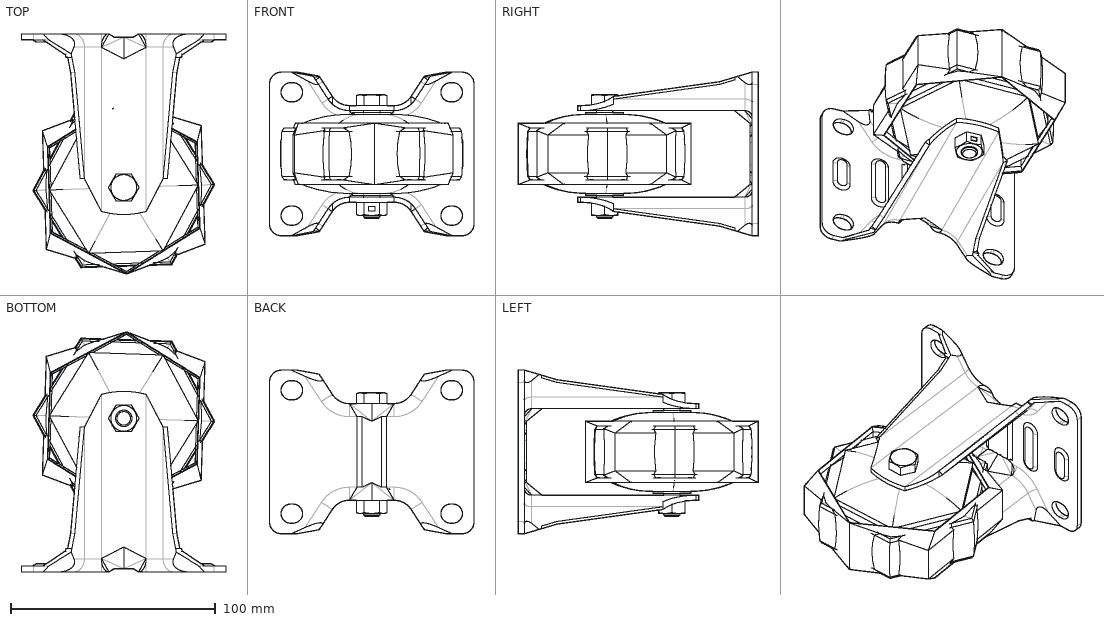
import cadquery as cq
import math

AXLE_DROP = 75.0

LONG = 120.0
EDGE_TOL = 0.1

PLATE_WIDTH = 100.0
PLATE_HEIGHT = 80.0
PLATE_THICK = 3.0
PLATE_CORNER_R = 6.0
HOLE_X = 39.0
HOLE_Z = 30.1
HOLE_LENGTH = 10.4
HOLE_HEIGHT = 9.2

BEADS = [(-40.0, 20.0), (-20.0, 30.0), (20.0, 30.0), (40.0, 20.0)]
BEAD_WIDTH = 9.0
BEAD_RISE = 1.1
BEAD_TAPER = 60.0

CHANNEL_WIDTH = 14.4
CHANNEL_FLOOR = 9.4
CHANNEL_DEPTH = 1.6
CHANNEL_HEIGHT = 37.0
CHANNEL_RIDGE_HEIGHT = 30.0
CHANNEL_RIDGE_SPREAD = 2.6

LEG_THICK = 2.5
WEB_OUTER_Z = 23.6
WEB_INNER_Z = WEB_OUTER_Z - LEG_THICK
WEB_HALF = 10.9
WALL_ANGLE = 57.0
BEND_R = 9.9
LEG_TIP_Y = -88.2
TIP_CORNER_Y = -86.7
WALL_END_Y = -70.7
FLARE_EDGE = [(-PLATE_THICK, PLATE_HEIGHT / 2), (-11.5, 37.5)]
WALL_EDGE = [FLARE_EDGE[1], (-18.9, 35.3)]
FOOT_INNER_R = 3.5
FOOT_OUTER_R = 6.4

FLARE_X = 39.4
FLARE_REACH = 13.0
FLARE_START_Z = 32.0

DIMPLE_REACH = 12.2
DIMPLE_FOOT_Z = 15.0
DIMPLE_SIDE_Y = -6.6
DIMPLE_SIDE_Z = 17.2
GUSSET_REACH = 11.7
GUSSET_FOOT_Z = 14.0
GUSSET_FOOT_HALF = 8.0

SHANK_R = 4.0
HEX_FLATS = 13.0
HEAD_HEIGHT = 5.3
NUT_HEIGHT = 6.5
SHANK_END_Z = -31.4
SHANK_CHAMFER = 0.7
HEX_CHAMFER_R = 6.3
HEX_CHAMFER_DROP = 0.5
NUT_MARK_WIDTH = 3.0
NUT_MARK_HEIGHT = 2.2
NUT_MARK_DEPTH = 0.4

FLANGE_R = 9.3
FLANGE_OUTER_Z = 20.2
FLANGE_INNER_Z = 19.3
BUSH_R = 7.0
BUSH_LENGTH = 12.0

WHEEL_TURN = 1.9
SIDES = 6
HEX_RATIO = math.cos(math.pi / SIDES)

DOME_CORNER_R = 36.4
DOME_EDGE_Z = 13.9
DOME_MID = (23.6, 17.2)
DOME_TOP_HALF = 8.5
RIM_CORNER_R = 44.4
RIM_CROWN_CORNER_R = 43.9
RIM_EDGE_CORNER_R = 42.8
RIM_CROWN_HALF = 11.0
RIM_HALF = 12.7
RIM_GROOVE_Z = 11.0

TYRE_R = 42.245
TYRE_HALF = 15.0
CREST_HALF = 9.2
CREST_X = 38.8
CREST_Y = 29.0
TYRE_LIP_R = 41.9
TYRE_SEAT_R = 41.0


def solid_from_faces(points, faces):
    """Solid with flat faces, each face given as a list of point indices."""
    flat = []
    for face in faces:
        wire = cq.Wire.makePolygon([cq.Vector(*points[i]) for i in face], close=True)
        flat.append(cq.Face.makeFromWires(wire))
    return cq.Workplane(cq.Solid.makeSolid(cq.Shell.makeShell(flat)))


def tetrahedron(points):
    return solid_from_faces(points, [(0, 1, 2), (0, 1, 3), (1, 2, 3), (0, 2, 3)])


SIN_WALL = math.sin(math.radians(WALL_ANGLE))
COS_WALL = math.cos(math.radians(WALL_ANGLE))
BEND_END_X = WEB_HALF + BEND_R * SIN_WALL
BEND_END_Z = WEB_OUTER_Z + BEND_R * (1 - COS_WALL)
WALL_TOP_Z = PLATE_HEIGHT / 2
PLATE_FRONT = -PLATE_THICK


def wall_x(z, depth):
    """X of the leg wall at height z, at a depth below its outer face."""
    return BEND_END_X + (z - BEND_END_Z) / math.tan(math.radians(WALL_ANGLE)) + depth / SIN_WALL


def bend_point(angle, depth):
    """Point of the bend at an angle from the web, at a depth below the outer face."""
    a = math.radians(angle)
    radius = BEND_R + depth
    return (WEB_HALF + radius * math.sin(a), WEB_OUTER_Z + BEND_R - radius * math.cos(a))


def flip(point):
    return (-point[0], point[1])


def make_plate():
    plate = cq.Workplane("XZ").rect(PLATE_WIDTH, PLATE_HEIGHT).extrude(PLATE_THICK)
    return plate.edges("|Y").fillet(PLATE_CORNER_R)


def leg_outline(depth):
    """Points along the right half of the channel at a depth below the outer face."""
    return {
        "web": (WEB_HALF, WEB_OUTER_Z - depth),
        "mid": bend_point(WALL_ANGLE / 2, depth),
        "bend": bend_point(WALL_ANGLE, depth),
        "top": (wall_x(WALL_TOP_Z, depth), WALL_TOP_Z),
    }


def make_leg():
    outer = leg_outline(0.0)
    inner = leg_outline(LEG_THICK)
    return (
        cq.Workplane("XZ")
        .moveTo(*flip(outer["top"]))
        .lineTo(*flip(outer["bend"]))
        .threePointArc(flip(outer["mid"]), flip(outer["web"]))
        .lineTo(*outer["web"])
        .threePointArc(outer["mid"], outer["bend"])
        .lineTo(*outer["top"])
        .lineTo(*inner["top"])
        .lineTo(*inner["bend"])
        .threePointArc(inner["mid"], inner["web"])
        .lineTo(*flip(inner["web"]))
        .threePointArc(flip(inner["mid"]), flip(inner["bend"]))
        .lineTo(*flip(inner["top"]))
        .close()
        .extrude(-LEG_TIP_Y)
    )


def channel_void():
    """Space on the outer side of one leg, open to the plate edge."""
    outer = leg_outline(0.0)
    return (
        cq.Workplane("XZ")
        .moveTo(*flip(outer["top"]))
        .lineTo(*flip(outer["bend"]))
        .threePointArc(flip(outer["mid"]), flip(outer["web"]))
        .lineTo(*outer["web"])
        .threePointArc(outer["mid"], outer["bend"])
        .lineTo(*outer["top"])
        .close()
        .extrude(-LEG_TIP_Y)
    )


def wall_trim():
    """Cutter that trims the right wall square to its face along the tapering outer edge."""
    def on_wall(y, z):
        return (y, (z - BEND_END_Z) / SIN_WALL)

    far = LONG / 2
    edge = [on_wall(y, z) for y, z in WALL_EDGE]
    outline = edge + [(WALL_END_Y, 0.0), (LEG_TIP_Y, 0.0), (LEG_TIP_Y, far), (WALL_EDGE[0][0], far)]
    plane = cq.Plane(
        origin=(BEND_END_X, 0, BEND_END_Z), xDir=(0, 1, 0), normal=(SIN_WALL, 0, -COS_WALL)
    )
    return cq.Workplane(plane).polyline(outline).close().extrude(2 * FLARE_REACH, both=True)


def flare_trim():
    """Cutter that slopes the free edge of the corner flares away from the plate edge."""
    outline = FLARE_EDGE + [(FLARE_EDGE[1][0], PLATE_HEIGHT), (PLATE_FRONT, PLATE_HEIGHT)]
    return cq.Workplane("YZ").polyline(outline).close().extrude(PLATE_WIDTH / 2, both=True)


def tip_outline():
    """Plan outline of a leg, with tapered corners and a shallow arc at the tip."""
    side = PLATE_WIDTH / 2
    return (
        cq.Workplane("XY")
        .moveTo(-side, 0)
        .lineTo(-side, WALL_END_Y)
        .lineTo(-BEND_END_X, WALL_END_Y)
        .lineTo(-WEB_HALF, TIP_CORNER_Y)
        .threePointArc((0, LEG_TIP_Y), (WEB_HALF, TIP_CORNER_Y))
        .lineTo(BEND_END_X, WALL_END_Y)
        .lineTo(side, WALL_END_Y)
        .lineTo(side, 0)
        .close()
        .extrude(PLATE_HEIGHT)
    )


def flare_wedge(depth, y_start):
    """Wedge between the plate and the right wall, growing towards the plate corner."""
    return tetrahedron([
        (wall_x(FLARE_START_Z, depth), y_start, FLARE_START_Z),
        (FLARE_X, y_start, WALL_TOP_Z),
        (wall_x(WALL_TOP_Z, depth), y_start, WALL_TOP_Z),
        (wall_x(WALL_TOP_Z, depth), -FLARE_REACH, WALL_TOP_Z),
    ])


DIMPLE_FACES = [
    (0, 1, 6, 7, 2), (6, 7, 4, 3), (3, 4, 5),
    (0, 1, 5), (0, 2, 5), (1, 3, 5), (2, 4, 5), (1, 6, 3), (2, 7, 4),
]


def dimple_cut():
    """Pressed-in hollow on the outer side of the foot."""
    half = CHANNEL_WIDTH / 2
    points = [
        (0, -DIMPLE_REACH, WEB_OUTER_Z),
        (-WEB_HALF, DIMPLE_SIDE_Y, WEB_OUTER_Z),
        (WEB_HALF, DIMPLE_SIDE_Y, WEB_OUTER_Z),
        (-half, 0, DIMPLE_SIDE_Z),
        (half, 0, DIMPLE_SIDE_Z),
        (0, -CHANNEL_DEPTH, DIMPLE_FOOT_Z),
        (-WEB_HALF, 0, WEB_OUTER_Z),
        (WEB_HALF, 0, WEB_OUTER_Z),
    ]
    return solid_from_faces(points, DIMPLE_FACES)


def dimple_gusset():
    """Matching bulge on the inner side of the foot."""
    points = [
        (0, -GUSSET_REACH, WEB_INNER_Z),
        (-WEB_HALF, DIMPLE_SIDE_Y, WEB_INNER_Z),
        (WEB_HALF, DIMPLE_SIDE_Y, WEB_INNER_Z),
        (-GUSSET_FOOT_HALF, PLATE_FRONT, DIMPLE_SIDE_Z),
        (GUSSET_FOOT_HALF, PLATE_FRONT, DIMPLE_SIDE_Z),
        (0, PLATE_FRONT, GUSSET_FOOT_Z),
        (-WEB_HALF, PLATE_FRONT, WEB_INNER_Z),
        (WEB_HALF, PLATE_FRONT, WEB_INNER_Z),
    ]
    return solid_from_faces(points, DIMPLE_FACES)


def foot_edges(leg_bracket, y, depth):
    """Edges of the foot where the leg meets the plate face at the given Y."""
    reach_x = wall_x(WALL_TOP_Z, depth)
    low = (-reach_x, y - EDGE_TOL, WEB_OUTER_Z - depth - EDGE_TOL)
    high = (reach_x, y + EDGE_TOL, WALL_TOP_Z - EDGE_TOL)
    return leg_bracket.edges(cq.selectors.BoxSelector(low, high))


def make_half_bracket():
    """Upper half of the plate with the upper leg."""
    upper = cq.Workplane("XY").box(PLATE_WIDTH, LONG * 2, PLATE_HEIGHT, centered=(True, True, False))
    leg = make_leg().intersect(tip_outline())
    half = make_plate().intersect(upper).cut(channel_void()).union(leg)

    half = foot_edges(half, PLATE_FRONT, LEG_THICK).fillet(FOOT_INNER_R)
    half = foot_edges(half, 0.0, 0.0).fillet(FOOT_OUTER_R)

    flare_fill = flare_wedge(LEG_THICK, PLATE_FRONT)
    flare_cut = flare_wedge(0.0, 0.0)
    trim = wall_trim()
    half = half.union(flare_fill).union(flare_fill.mirror("YZ"))
    for cutter in (flare_cut, trim):
        half = half.cut(cutter).cut(cutter.mirror("YZ"))

    half = half.cut(flare_trim())
    return half.union(dimple_gusset()).cut(dimple_cut())


def make_bead(center_x, length):
    """Raised bead on the plate front, with sloping flanks and round ends."""
    return (
        cq.Workplane("XZ", origin=(center_x, PLATE_FRONT, 0))
        .slot2D(length, BEAD_WIDTH, 90)
        .extrude(BEAD_RISE, taper=BEAD_TAPER)
    )


def pressed_trough(y, wide, narrow, depth, height):
    """Trapezoidal bar along Z that narrows towards -Y."""
    outline = [(-wide / 2, y), (wide / 2, y), (narrow / 2, y - depth), (-narrow / 2, y - depth)]
    return cq.Workplane("XY").polyline(outline).close().extrude(height / 2, both=True)


def make_bracket():
    half = make_half_bracket()
    bracket = half.union(half.mirror("XY"))
    for center_x, length in BEADS:
        bracket = bracket.union(make_bead(center_x, length))

    ridge = pressed_trough(
        PLATE_FRONT,
        CHANNEL_WIDTH + CHANNEL_RIDGE_SPREAD,
        CHANNEL_FLOOR + CHANNEL_RIDGE_SPREAD,
        BEAD_RISE,
        CHANNEL_RIDGE_HEIGHT,
    )
    channel = pressed_trough(0.0, CHANNEL_WIDTH, CHANNEL_FLOOR, CHANNEL_DEPTH, CHANNEL_HEIGHT)
    bracket = bracket.union(ridge).cut(channel)

    holes = (
        cq.Workplane("XZ")
        .rect(2 * HOLE_X, 2 * HOLE_Z, forConstruction=True)
        .vertices()
        .slot2D(HOLE_LENGTH, HOLE_HEIGHT)
        .extrude(PLATE_THICK)
    )
    axle_hole = axle_cylinder(SHANK_R, -PLATE_HEIGHT / 2, PLATE_HEIGHT / 2)
    return bracket.cut(holes).cut(axle_hole)


def axle_plane(z):
    return cq.Workplane("XY", origin=(0, -AXLE_DROP, z))


def axle_cylinder(radius, z_low, z_high):
    return axle_plane(z_low).circle(radius).extrude(z_high - z_low)


def hex_block(height):
    """Hexagon standing on the web of the upper leg, its free end chamfered round."""
    corner_r = HEX_FLATS / 2 / HEX_RATIO
    block = axle_plane(WEB_OUTER_Z).polygon(SIDES, 2 * corner_r).extrude(height)
    slope = (corner_r - HEX_CHAMFER_R) / HEX_CHAMFER_DROP
    base_r = HEX_CHAMFER_R + slope * height
    cone = cq.Solid.makeCone(
        base_r, HEX_CHAMFER_R, height, cq.Vector(0, -AXLE_DROP, WEB_OUTER_Z), cq.Vector(0, 0, 1)
    )
    return block.intersect(cq.Workplane(cone))


def make_bolt():
    shank = axle_cylinder(SHANK_R, SHANK_END_Z, WEB_OUTER_Z).faces("<Z").chamfer(SHANK_CHAMFER)
    return hex_block(HEAD_HEIGHT).union(shank)


def make_nut():
    nut = hex_block(NUT_HEIGHT).mirror("XY")
    bore = axle_cylinder(SHANK_R, -WEB_OUTER_Z - NUT_HEIGHT, -WEB_OUTER_Z)
    mark = cq.Workplane("XY").box(NUT_MARK_WIDTH, 2 * NUT_MARK_DEPTH, NUT_MARK_HEIGHT)
    mark_place = (0, -AXLE_DROP - HEX_FLATS / 2, -WEB_OUTER_Z - NUT_HEIGHT / 2)
    return nut.cut(bore).cut(mark.translate(mark_place))


def make_bushing(side):
    """Flanged bushing; side is +1 for the upper one and -1 for the lower one."""
    bushing = (
        axle_cylinder(BUSH_R, FLANGE_INNER_Z - BUSH_LENGTH, FLANGE_INNER_Z)
        .union(axle_cylinder(FLANGE_R, FLANGE_INNER_Z, FLANGE_OUTER_Z))
        .cut(axle_cylinder(SHANK_R, FLANGE_INNER_Z - BUSH_LENGTH, FLANGE_OUTER_Z))
    )
    return bushing if side > 0 else bushing.mirror("XY")


def six_sided(bar, first_angle):
    """Six-sided body whose section across opposite flats is the section of the bar."""
    body = bar.rotate((0, 0, 0), (0, 0, 1), first_angle)
    for step in (1, 2):
        body = body.intersect(bar.rotate((0, 0, 0), (0, 0, 1), first_angle + step * 360 / SIDES))
    return body


def long_bar(outline):
    return outline.close().extrude(LONG / 2, both=True)


def hex_wire(corner_r, z, first_angle):
    """Closed hexagonal wire at height z with a corner at first_angle."""
    points = []
    for i in range(SIDES):
        a = math.radians(first_angle + i * 360 / SIDES)
        points.append(cq.Vector(corner_r * math.cos(a), corner_r * math.sin(a), z))
    return cq.Wire.makePolygon(points, close=True)


def hex_funnel(top_r, top_z, bottom_r, bottom_z, first_angle):
    """Six-sided plug about the axle, spanning two levels with its own corner radius at each."""
    wires = [hex_wire(bottom_r, bottom_z, first_angle), hex_wire(top_r, top_z, first_angle)]
    return cq.Workplane(cq.Solid.makeLoft(wires, True))


def both_sides(body):
    return body.union(body.mirror("XY"))


def place_wheel(body):
    return body.rotate((0, 0, 0), (0, 0, 1), WHEEL_TURN).translate((0, -AXLE_DROP, 0))


def make_core_blank():
    dome_flat = DOME_CORNER_R * HEX_RATIO
    mid_x, mid_z = DOME_MID
    dome = long_bar(
        cq.Workplane("XZ")
        .moveTo(dome_flat, -DOME_EDGE_Z)
        .lineTo(dome_flat, DOME_EDGE_Z)
        .threePointArc((mid_x, mid_z), (DOME_TOP_HALF, FLANGE_INNER_Z))
        .lineTo(-DOME_TOP_HALF, FLANGE_INNER_Z)
        .threePointArc((-mid_x, mid_z), (-dome_flat, DOME_EDGE_Z))
        .lineTo(-dome_flat, -DOME_EDGE_Z)
        .threePointArc((-mid_x, -mid_z), (-DOME_TOP_HALF, -FLANGE_INNER_Z))
        .lineTo(DOME_TOP_HALF, -FLANGE_INNER_Z)
        .threePointArc((mid_x, -mid_z), (dome_flat, -DOME_EDGE_Z))
    )
    rim_edge = RIM_EDGE_CORNER_R * HEX_RATIO
    rim_crown = RIM_CROWN_CORNER_R * HEX_RATIO
    rim_flat = RIM_CORNER_R * HEX_RATIO
    rim = long_bar(
        cq.Workplane("XZ")
        .moveTo(rim_edge, -RIM_HALF)
        .lineTo(rim_crown, -RIM_CROWN_HALF)
        .threePointArc((rim_flat, 0), (rim_crown, RIM_CROWN_HALF))
        .lineTo(rim_edge, RIM_HALF)
        .lineTo(-rim_edge, RIM_HALF)
        .lineTo(-rim_crown, RIM_CROWN_HALF)
        .threePointArc((-rim_flat, 0), (-rim_crown, -RIM_CROWN_HALF))
        .lineTo(-rim_edge, -RIM_HALF)
    )
    turn = 180 / SIDES
    groove = both_sides(hex_funnel(RIM_EDGE_CORNER_R, RIM_HALF, DOME_CORNER_R, RIM_GROOVE_Z, 0))
    return six_sided(rim, turn).cut(groove).union(six_sided(dome, turn))


def make_tyre(core_blank):
    outline = [(CREST_X, CREST_Y), (0, TYRE_R), (-CREST_X, CREST_Y)]
    outline += [(-x, -y) for x, y in outline]
    body = cq.Workplane("XY").polyline(outline).close().extrude(TYRE_HALF, both=True)

    def bevel_bar(crest_flat):
        lip_flat = TYRE_R * HEX_RATIO
        lower = [(lip_flat, -TYRE_HALF), (crest_flat, -CREST_HALF)]
        right = lower + [(x, -z) for x, z in reversed(lower)]
        left = [(-x, -z) for x, z in right]
        return cq.Workplane("XZ").polyline(right + left).close().extrude(LONG / 2, both=True)

    step = 360 / SIDES
    half_crest = CREST_X * math.cos(math.radians(step)) + CREST_Y * math.sin(math.radians(step))
    body = body.intersect(bevel_bar(CREST_X))
    for angle in (step, -step):
        body = body.intersect(bevel_bar(half_crest).rotate((0, 0, 0), (0, 0, 1), angle))

    lip_angle = 180 / SIDES
    opening = both_sides(hex_funnel(TYRE_LIP_R, TYRE_HALF, TYRE_SEAT_R, RIM_HALF, lip_angle))
    seat = hex_funnel(TYRE_SEAT_R, RIM_HALF, TYRE_SEAT_R, -RIM_HALF, lip_angle)
    return body.cut(opening).cut(seat).cut(core_blank)


def make_core(core_blank):
    pocket_floor = cq.Workplane("XY", origin=(0, 0, FLANGE_INNER_Z - BUSH_LENGTH))
    bushing_pocket = pocket_floor.circle(BUSH_R).extrude(LONG)
    bore = cq.Workplane("XY").circle(SHANK_R).extrude(LONG / 2, both=True)
    lower_pocket = bushing_pocket.mirror("XY")
    return core_blank.cut(bushing_pocket).cut(lower_pocket).cut(bore)


core_blank = make_core_blank()
bracket = make_bracket()
bolt = make_bolt()
nut = make_nut()
bushings = [make_bushing(side) for side in (1, -1)]
core = place_wheel(make_core(core_blank))
tyre = place_wheel(make_tyre(core_blank))

bodies = [bracket, bolt, nut, *bushings, core, tyre]
result = cq.Compound.makeCompound([solid for body in bodies for solid in body.solids().vals()])